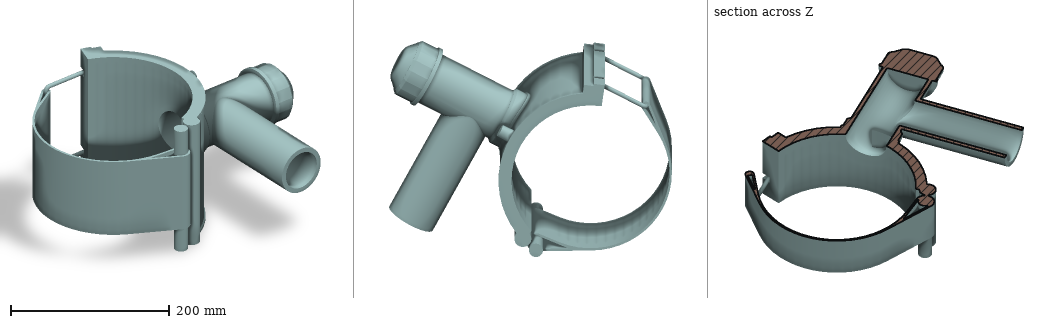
import cadquery as cq
import math


BORE_RADIUS = 100.0
SHELL_RADIUS = 114.5
RIM_RADIUS = 116.5
RIM_WIDTH = 3.5
LENGTH = 176.0
END_ANGLE = 20.0

BLOCK_RADIUS = 128.0
BLOCK_STEP = 3.0
BLOCK_LOWER_HEIGHT = 14.0
BLOCK_HEIGHT = 26.0
SLOT_FLOOR_RADIUS = 113.2

BEAD_RADIUS = 10.75
BEAD_CENTRE_RADIUS = 115.0

STRAP_THICKNESS = 3.0
STRAP_WIDTH = 107.0
ROD_DIAMETER = 17.69
ROD_CENTRE = (113.7, 17.5)
WIRE_DIAMETER = 5.6
WIRE_CENTRE = (-111.1, -20.0)
WIRE_BEND_RADIUS = 5.3
WIRE_END_Y = 56.2
SLOT_CLEARANCE = 0.1

PIPE_DIAMETER = 68.0
PIPE_BORE = 56.0
COLLAR_DIAMETER = 76.0
COLLAR_TOP = 128.7
COLLAR_CHAMFER = 3.5
FOOT_DIAMETER = 80.0
FOOT_OUTER_RADIUS = 118.0
CAP_DIAMETER = 76.0
CAP_FLANGE_DIAMETER = 80.0
CAP_FLANGE_BOTTOM = 232.8
CAP_FLANGE_THICKNESS = 5.1
CAP_GRIP_TOP = 260.8
CAP_TOP = 276.84
CAP_DOME_DIAMETER = 66.0
CAP_EDGE_ROUND = 12.0
CAP_GRIP_CHAMFER = 4.0
CAP_FLATS = 8
BRANCH_DIAMETER = 63.0
BRANCH_BORE = 50.4
BRANCH_Y = 164.0
BRANCH_END = 175.0
SHELF_THICKNESS = 1.0

BOSS_Z = 70.4
BOSS_TOP = 130.0
BOSS_TIP_DIAMETER = 15.8
BOSS_BASE_DIAMETER = 17.7

STRAP_RADIUS = BORE_RADIUS + STRAP_THICKNESS
WIRE_RADIUS = WIRE_DIAMETER / 2
UPWARD = 90
WIRE_LEG_Z = STRAP_WIDTH / 2 + WIRE_BEND_RADIUS


def polar(radius, degrees, centre=(0.0, 0.0)):
    angle = math.radians(degrees)
    return (centre[0] + radius * math.cos(angle), centre[1] + radius * math.sin(angle))


def bar(radius, length, centre=(0.0, 0.0)):
    """Round bar along Z, centred on Z = 0."""
    return cq.Workplane("XY").center(*centre).circle(radius).extrude(length / 2, both=True)


def post(diameter, bottom, top):
    """Round bar along Y between two heights."""
    plane = cq.Workplane("XZ", origin=(0, bottom, 0))
    return plane.circle(diameter / 2).extrude(bottom - top)


def branch_bar(diameter):
    """Round bar along the branch, from the tapping pipe's axis to the branch end."""
    return cq.Workplane("YZ").center(BRANCH_Y, 0).circle(diameter / 2).extrude(BRANCH_END)


def shell_sector(outer_radius, length):
    """Ring sector that spans the saddle between its two end faces."""
    left = 180 - END_ANGLE
    return (
        cq.Workplane("XY")
        .moveTo(*polar(BORE_RADIUS, END_ANGLE))
        .lineTo(*polar(outer_radius, END_ANGLE))
        .threePointArc((0, outer_radius), polar(outer_radius, left))
        .lineTo(*polar(BORE_RADIUS, left))
        .threePointArc((0, BORE_RADIUS), polar(BORE_RADIUS, END_ANGLE))
        .close()
        .extrude(length / 2, both=True)
    )


def latch_plane(z=0.0):
    """Plane whose x runs radially outward along the end face and -y runs up the block."""
    radial = (*polar(1.0, 180 - END_ANGLE), 0)
    return cq.Workplane(cq.Plane(origin=(0, 0, z), xDir=radial, normal=(0, 0, 1)))


def make_latch_block():
    root = (BORE_RADIUS + SHELL_RADIUS) / 2
    upper = BLOCK_RADIUS - BLOCK_STEP
    block = (
        latch_plane()
        .moveTo(root, 0)
        .lineTo(BLOCK_RADIUS, 0)
        .lineTo(BLOCK_RADIUS, -BLOCK_LOWER_HEIGHT)
        .lineTo(upper, -BLOCK_LOWER_HEIGHT)
        .lineTo(upper, -BLOCK_HEIGHT)
        .lineTo(root, -BLOCK_HEIGHT)
        .close()
        .extrude(LENGTH / 2, both=True)
    )
    slot_inner = STRAP_WIDTH / 2
    slot_width = WIRE_LEG_Z + WIRE_RADIUS + SLOT_CLEARANCE - slot_inner
    for bottom in (slot_inner, -slot_inner - slot_width):
        slot = (
            latch_plane(bottom)
            .moveTo(SLOT_FLOOR_RADIUS, 0)
            .rect(BLOCK_RADIUS, -BLOCK_LOWER_HEIGHT, centered=False)
            .extrude(slot_width)
        )
        block = block.cut(slot)
    return block


def make_saddle():
    saddle = shell_sector(SHELL_RADIUS, LENGTH)
    rims = shell_sector(RIM_RADIUS, LENGTH).cut(shell_sector(RIM_RADIUS, LENGTH - 2 * RIM_WIDTH))
    bead = bar(BEAD_RADIUS, LENGTH, polar(BEAD_CENTRE_RADIUS, END_ANGLE))
    return saddle.union(rims).union(make_latch_block()).union(bead)


def strap_eye(centre, pin_radius, turn):
    """Tangent angles of the strap strands that wrap one pin.

    turn is -1 when the strands run clockwise from the pin to the strap arc and +1 otherwise.
    Returns the inner strand's angle, the outer strand's angle and the outer eye radius.
    """
    eye_radius = pin_radius + STRAP_THICKNESS
    distance = math.hypot(*centre)
    heading = math.degrees(math.atan2(centre[1], centre[0]))
    inner = heading + turn * math.degrees(math.acos((BORE_RADIUS + eye_radius) / distance))
    outer = heading + turn * math.degrees(math.acos((STRAP_RADIUS - eye_radius) / distance))
    return inner, outer, eye_radius


def strand_crossing(inner, outer):
    """Point where the facing sides of the inner and outer strands meet."""
    a, b = math.radians(inner), math.radians(outer)
    det = math.sin(b - a)
    x = (STRAP_RADIUS * math.sin(b) - BORE_RADIUS * math.sin(a)) / det
    y = (BORE_RADIUS * math.cos(a) - STRAP_RADIUS * math.cos(b)) / det
    return (x, y)


def make_strap():
    """Strap that follows the lower half of the main and loops round the rod and the wire."""
    rod_inner, rod_outer, rod_eye = strap_eye(ROD_CENTRE, ROD_DIAMETER / 2, -1)
    wire_inner, wire_outer, wire_eye = strap_eye(WIRE_CENTRE, WIRE_RADIUS, 1)
    strap = (
        cq.Workplane("XY")
        .moveTo(*polar(BORE_RADIUS, rod_inner))
        .threePointArc((0, -BORE_RADIUS), polar(BORE_RADIUS, wire_inner))
        .lineTo(*polar(-wire_eye, wire_inner, WIRE_CENTRE))
        .threePointArc(polar(wire_eye, UPWARD, WIRE_CENTRE), polar(wire_eye, wire_outer, WIRE_CENTRE))
        .lineTo(*polar(STRAP_RADIUS, wire_outer))
        .threePointArc((0, -STRAP_RADIUS), polar(STRAP_RADIUS, rod_outer))
        .lineTo(*polar(rod_eye, rod_outer, ROD_CENTRE))
        .threePointArc(polar(rod_eye, UPWARD, ROD_CENTRE), polar(-rod_eye, rod_inner, ROD_CENTRE))
        .close()
        .extrude(STRAP_WIDTH / 2, both=True)
    )
    eyes = (
        (ROD_CENTRE, ROD_DIAMETER / 2, rod_inner, rod_outer),
        (WIRE_CENTRE, WIRE_RADIUS, wire_inner, wire_outer),
    )
    for centre, radius, inner, outer in eyes:
        opening = (
            cq.Workplane("XY")
            .moveTo(*polar(-radius, inner, centre))
            .threePointArc(polar(radius, UPWARD, centre), polar(radius, outer, centre))
            .lineTo(*strand_crossing(inner, outer))
            .close()
            .extrude(STRAP_WIDTH / 2, both=True)
        )
        strap = strap.cut(opening)
    return strap


def make_wire_bail():
    x, y = WIRE_CENTRE
    bend_y = y + WIRE_BEND_RADIUS
    bend_z = WIRE_LEG_Z - WIRE_BEND_RADIUS
    diagonal = WIRE_BEND_RADIUS * math.sqrt(0.5)
    path = (
        cq.Workplane("YZ", origin=(x, 0, 0))
        .moveTo(WIRE_END_Y, WIRE_LEG_Z)
        .lineTo(bend_y, WIRE_LEG_Z)
        .threePointArc((bend_y - diagonal, bend_z + diagonal), (y, bend_z))
        .lineTo(y, -bend_z)
        .threePointArc((bend_y - diagonal, -bend_z - diagonal), (bend_y, -WIRE_LEG_Z))
        .lineTo(WIRE_END_Y, -WIRE_LEG_Z)
    )
    start = cq.Workplane("XZ", origin=(x, WIRE_END_Y, WIRE_LEG_Z))
    return start.circle(WIRE_RADIUS).sweep(path)


def make_cap_grip(bottom):
    """Round prism with flats; flats and round stretches share the circumference equally."""
    half_pitch = 180 / CAP_FLATS
    flat_distance = CAP_DIAMETER / 2 * math.cos(math.radians(half_pitch / 2))
    prism = (
        cq.Workplane("XZ", origin=(0, bottom, 0))
        .polygon(CAP_FLATS, 2 * flat_distance, circumscribed=True)
        .extrude(bottom - CAP_GRIP_TOP - CAP_GRIP_CHAMFER)
        .rotate((0, 0, 0), (0, 1, 0), half_pitch)
    )
    grip = post(CAP_DIAMETER, bottom, CAP_GRIP_TOP + CAP_GRIP_CHAMFER).intersect(prism)
    return grip.faces(">Y").chamfer(CAP_GRIP_CHAMFER)


def make_cap():
    flange_top = CAP_FLANGE_BOTTOM + CAP_FLANGE_THICKNESS
    dome_bottom = CAP_GRIP_TOP + CAP_GRIP_CHAMFER
    dome_height = CAP_TOP - dome_bottom
    dome = post(CAP_DOME_DIAMETER, flange_top, CAP_TOP)
    dome = dome.faces(">Y").chamfer(dome_height).faces(">Y").edges().fillet(CAP_EDGE_ROUND)
    flange = post(CAP_FLANGE_DIAMETER, CAP_FLANGE_BOTTOM, flange_top)
    return make_cap_grip(flange_top).union(dome).union(flange)


def make_tapping_tee():
    pipe = post(PIPE_DIAMETER, BORE_RADIUS, CAP_FLANGE_BOTTOM)
    collar = post(COLLAR_DIAMETER, BORE_RADIUS, COLLAR_TOP)
    collar = collar.faces(">Y").chamfer(COLLAR_CHAMFER)
    foot = post(FOOT_DIAMETER, 0, COLLAR_TOP).intersect(bar(FOOT_OUTER_RADIUS, LENGTH))
    outside = pipe.union(collar).union(foot).union(branch_bar(BRANCH_DIAMETER)).union(make_cap())
    return outside.cut(bar(BORE_RADIUS, LENGTH))


def make_boss(z):
    return (
        cq.Workplane("XZ", origin=(0, BORE_RADIUS, z))
        .circle(BOSS_BASE_DIAMETER / 2)
        .workplane(offset=BORE_RADIUS - BOSS_TOP)
        .circle(BOSS_TIP_DIAMETER / 2)
        .loft()
    )


def make_bores():
    """Tapping bore from the main up to the cap, with the open branch bore."""
    main = post(PIPE_BORE, 0, CAP_FLANGE_BOTTOM)
    return main.union(branch_bar(BRANCH_BORE))


def make_shelf():
    """Thin curved plate that closes the +X half of the bore at the rim radius."""
    outer_radius = RIM_RADIUS + SHELF_THICKNESS
    ring = bar(outer_radius, LENGTH).cut(bar(RIM_RADIUS, LENGTH))
    plug = post(PIPE_DIAMETER, 0, outer_radius)
    right_half = cq.Workplane("XY").box(PIPE_DIAMETER, outer_radius, LENGTH, centered=(False, False, True))
    return ring.intersect(plug).intersect(right_half)


body = make_saddle().union(make_tapping_tee())
for side in (-1, 1):
    body = body.union(make_boss(side * BOSS_Z))
body = body.cut(make_bores()).union(make_shelf())
rod = bar(ROD_DIAMETER / 2, LENGTH, ROD_CENTRE)
result = body.union(make_strap()).union(rod).union(make_wire_bail())